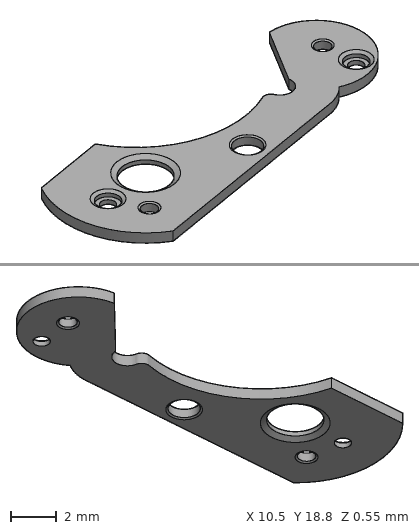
import cadquery as cq
import math

length = 18.78
thickness = 0.55

tail_radius = 4.7
head_radius = 2.7
head_x = -3.36
head_y = length - tail_radius - head_radius

tail_right_angle = -19.9
tail_left_angle = -110.3
head_left_angle = 194.5
head_neck_angle = -13.0

shoulder_middle = (-0.25, 10.33)
shoulder_end = (0.08, 9.82)
heel = (-3.12, -0.5)
inner_arc_middle = (-0.85, 4.13)
inner_arc_end = (-1.95, 7.55)
nose_middle = (-2.03, 7.81)
notch_start = (-1.82, 8.13)
notch_middle = (-1.58, 8.83)
notch_end = (-2.48, 9.31)

chamfer_angle = 30.0
bore_diameter = 2.5
bore_rim_diameter = 3.05
pivot_diameter = 1.4
pivot_rim_diameter = 1.6
pivot_center = (0.73, 4.9)
pin_diameter = 0.8
pin_rim_diameter = 1.0
pin_centers = [(-3.81, 12.04), (2.33, -1.4)]
screw_diameter = 0.75
screw_seat_diameter = 1.2
screw_rim_diameter = 1.55
screw_seat_depth = 0.3
screw_centers = [(-2.07, 12.6), (0.73, -2.5)]


def on_circle(center_x, center_y, radius, degrees):
    """Point on a circle in the given direction from its center."""
    angle = math.radians(degrees)
    return (center_x + radius * math.cos(angle), center_y + radius * math.sin(angle))


def plate():
    """Flat plate with round ends, a straight outer edge and a curved inner edge."""
    tail_left = on_circle(0, 0, tail_radius, tail_left_angle)
    tail_right = on_circle(0, 0, tail_radius, tail_right_angle)
    head_left = on_circle(head_x, head_y, head_radius, head_left_angle)
    head_neck = on_circle(head_x, head_y, head_radius, head_neck_angle)
    return (
        cq.Workplane("XY")
        .moveTo(*tail_left)
        .threePointArc((0, -tail_radius), tail_right)
        .lineTo(*shoulder_end)
        .threePointArc(shoulder_middle, head_neck)
        .threePointArc((head_x, head_y + head_radius), head_left)
        .lineTo(*notch_end)
        .threePointArc(notch_middle, notch_start)
        .threePointArc(nose_middle, inner_arc_end)
        .threePointArc(inner_arc_middle, heel)
        .close()
        .extrude(thickness)
    )


def chamfered_hole(center, diameter, rim_diameter, depth=thickness):
    """Cutter for a round hole sunk from the top face, with a chamfer at its rim."""
    radius = diameter / 2
    rim_radius = rim_diameter / 2
    chamfer_depth = (rim_radius - radius) * math.tan(math.radians(chamfer_angle))
    bottom = thickness - depth
    profile = [
        (0, bottom),
        (radius, bottom),
        (radius, thickness - chamfer_depth),
        (rim_radius, thickness),
        (0, thickness),
    ]
    cutter = cq.Workplane("XZ").polyline(profile).close().revolve(360, (0, 0, 0), (0, 1, 0))
    return cutter.translate((*center, 0))


def through_hole(center, diameter, rim_diameter):
    """Cutter for a through hole with the same chamfer on both faces."""
    upper = chamfered_hole(center, diameter, rim_diameter)
    lower = upper.mirror("XY").translate((0, 0, thickness))
    return upper.union(lower)


def screw_hole(center):
    """Cutter for a through hole below a chamfered, flat-bottomed seat."""
    shank = cq.Workplane("XY").center(*center).circle(screw_diameter / 2).extrude(thickness)
    seat = chamfered_hole(center, screw_seat_diameter, screw_rim_diameter, screw_seat_depth)
    return shank.union(seat)


result = plate()
result = result.cut(through_hole((0, 0), bore_diameter, bore_rim_diameter))
result = result.cut(through_hole(pivot_center, pivot_diameter, pivot_rim_diameter))
for pin_center in pin_centers:
    result = result.cut(through_hole(pin_center, pin_diameter, pin_rim_diameter))
for screw_center in screw_centers:
    result = result.cut(screw_hole(screw_center))